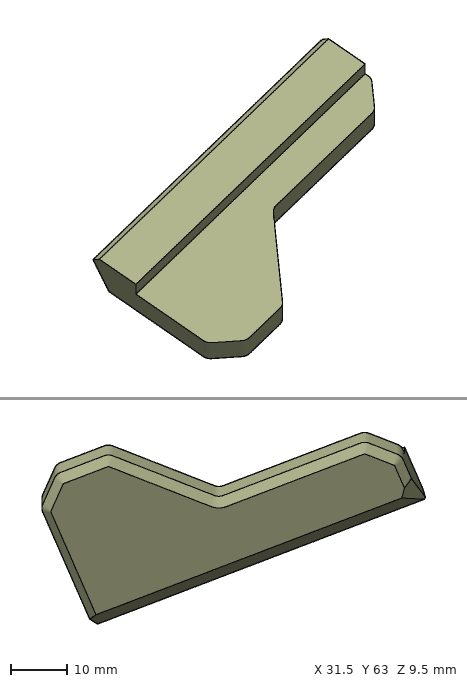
import cadquery as cq
import math

length = 63.0
width = 31.5
height = 9.5

arm_width = 16.5
foot_side = 15.0
corner_cut = 5.0
corner_radius = 2.0

rail_width = 10.0
rail_step = 3.0

top_chamfer = 1.5
rim_chamfer = 1.6
undercut_angle = 30.0

relief_at_lip = 0.3
relief_at_base = 2.75

plate_height = height - rail_step
lip_height = height - top_chamfer
undercut = lip_height * math.tan(math.radians(undercut_angle))
shoulder = foot_side + width - arm_width


def rounded_outline():
    """L-shaped plate with every corner rounded except the two on the -X side."""
    block = (
        cq.Workplane("XY")
        .polyline([
            (0, 0),
            (width - corner_cut, 0),
            (width, corner_cut),
            (width, foot_side),
            (arm_width, shoulder),
            (arm_width, length - corner_cut),
            (arm_width - corner_cut, length),
            (0, length),
        ])
        .close()
        .extrude(plate_height)
    )
    return block.edges("|Z").edges("not(<X)").fillet(corner_radius)


def plate():
    """Rounded plate with its lower rim chamfered on all sides except -X."""
    return rounded_outline().faces("<Z").edges("not(<X)").chamfer(rim_chamfer)


def rail():
    """Full-length rail standing on the -X side of the plate."""
    return (
        cq.Workplane("XY")
        .workplane(offset=plate_height)
        .rect(rail_width, length, centered=False)
        .extrude(rail_step)
    )


def full_length_wedge(points):
    """Prism along Y with a triangular XZ section."""
    return cq.Workplane("XZ").polyline(points).close().extrude(-length)


def undercut_wedge():
    """Material removed below the lip of the -X side."""
    return full_length_wedge([(0, lip_height), (0, 0), (undercut, 0)])


def top_chamfer_wedge():
    """Material removed above the lip of the -X side."""
    return full_length_wedge([(0, lip_height), (0, height), (top_chamfer, height)])


def end_relief():
    """Block beyond an oblique plane that bevels the undercut towards the +Y end.

    The plane meets the +Y end face in a 45 degree line, and crosses the undercut
    face between relief_at_lip at the lip and relief_at_base at the bottom.
    """
    end_slope = (lip_height - undercut) / (relief_at_base - relief_at_lip)
    plane = cq.Plane(
        origin=(0, length - relief_at_lip, lip_height),
        xDir=(1, 0, -1),
        normal=(-1, end_slope, -1),
    )
    return cq.Workplane(plane).rect(width, width).extrude(height)


result = (
    plate()
    .union(rail())
    .cut(undercut_wedge())
    .cut(top_chamfer_wedge())
    .cut(end_relief())
)